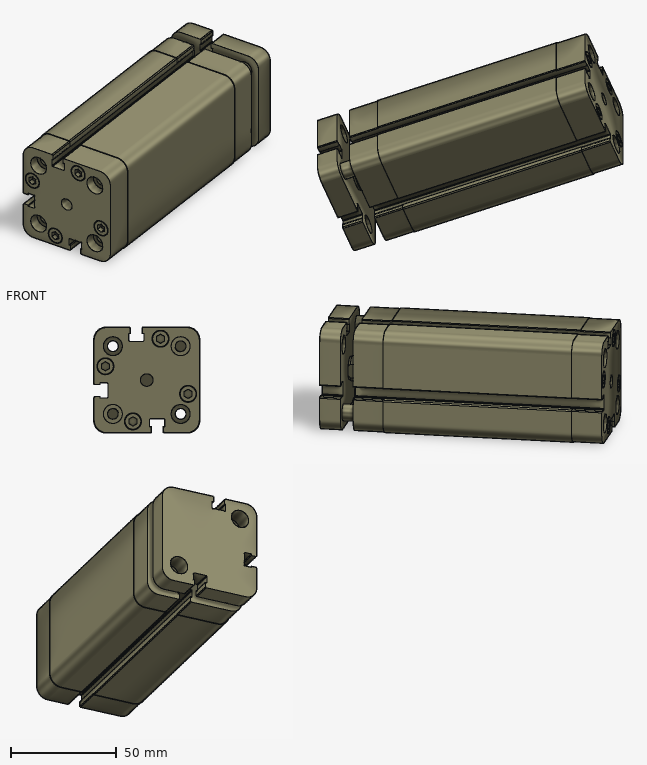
import cadquery as cq
import math

total_length = 135.5
front_cap_length = 14.5
rear_cap_length = 14.4
plate_gap = 6.1
plate_length = 10.0
plate_start = total_length - plate_length
housing_end = plate_start - plate_gap
barrel_end = housing_end - rear_cap_length

barrel_width = 50.1
cap_width = 49.6
barrel_corner = 6.1
corner_centre = barrel_width / 2 - barrel_corner
cap_corner = cap_width / 2 - corner_centre

slot_inner_edge = -1.4
slot_outer_edge = -8.4
neck_inner_edge = -2.2
barrel_neck_outer_edge = -7.7
cap_neck_outer_edge = -7.9
lip_chamfer = 0.4
floor_chamfer = 0.34
slot_floor = 18.3
lip_underside = 22.0
slot_angles = (0, 90, 180)

mount_offset = 16.0
mount_diameter = 5.0
mount_bore_diameter = 9.0
mount_bore_depth = 5.4

port_diameter = 6.0
port_depth = 13.5

screw_across = 6.5
screw_out = 19.5
screw_head_diameter = 7.5
screw_recess_diameter = 8.0
screw_recess_depth = 4.0
hex_diameter = 4.3
hex_depth = 2.7

guide_offset = 17.0
guide_diameter = 8.0
piston_diameter = 12.0
flat_width = 10.0
flat_clearance = 0.7
piston_chamfer = 1.1
piston_chamfer_radial = 0.5


def along_y(start):
    """Workplane square to Y at the given Y, with local axes X and Z; a negative extrusion runs towards +Y."""
    return cq.Workplane("XZ", origin=(0, start, 0))


def cylinder(x, z, diameter, start, end):
    return along_y(start).center(x, z).circle(diameter / 2).extrude(start - end)


def slot(width, neck_outer_edge, start, end):
    """T-slot in the +Z face, with chamfered lips."""
    face = width / 2
    outline = [
        (slot_outer_edge, slot_floor + floor_chamfer),
        (slot_outer_edge + floor_chamfer, slot_floor),
        (slot_inner_edge - floor_chamfer, slot_floor),
        (slot_inner_edge, slot_floor + floor_chamfer),
        (slot_inner_edge, lip_underside),
        (neck_inner_edge, lip_underside),
        (neck_inner_edge, face - lip_chamfer),
        (neck_inner_edge + lip_chamfer, face),
        (slot_outer_edge, face),
        (neck_outer_edge, face - lip_chamfer),
        (neck_outer_edge, lip_underside),
        (slot_outer_edge, lip_underside),
    ]
    return along_y(start).polyline(outline).close().extrude(start - end)


def block(width, corner, neck_outer_edge, start, end):
    """Rounded square length of profile with its three T-slots."""
    body = along_y(start).rect(width, width).extrude(start - end).edges("|Y").fillet(corner)
    cutter = slot(width, neck_outer_edge, start, end)
    for angle in slot_angles:
        body = body.cut(cutter.rotate((0, 0, 0), (0, 1, 0), -angle))
    return body


def cap_block(start, end):
    return block(cap_width, cap_corner, cap_neck_outer_edge, start, end)


housing = cap_block(0, front_cap_length)
barrel = block(
    barrel_width,
    barrel_corner,
    barrel_neck_outer_edge,
    front_cap_length,
    barrel_end,
)
housing = housing.union(barrel)
housing = housing.union(cap_block(barrel_end, housing_end))
plate = cap_block(plate_start, total_length)

for side_x in (-1, 1):
    for side_z in (-1, 1):
        x = side_x * mount_offset
        z = side_z * mount_offset
        housing = housing.cut(cylinder(x, z, mount_diameter, 0, housing_end))
        housing = housing.cut(cylinder(x, z, mount_bore_diameter, 0, mount_bore_depth))
        if side_x != side_z:
            plate = plate.cut(cylinder(x, z, mount_bore_diameter, plate_start, total_length))

housing = housing.cut(cylinder(0, 0, port_diameter, 0, port_depth))

for turn in range(4):
    angle = math.radians(90 * turn)
    x = screw_across * math.cos(angle) + screw_out * math.sin(angle)
    z = screw_out * math.cos(angle) - screw_across * math.sin(angle)
    head = cylinder(x, z, screw_head_diameter, 0, screw_recess_depth)
    housing = housing.cut(cylinder(x, z, screw_recess_diameter, 0, screw_recess_depth).cut(head))
    socket = along_y(0).polygon(6, hex_diameter).extrude(-hex_depth)
    socket = socket.rotate((0, 0, 0), (0, 1, 0), 90).translate((x, 0, z))
    housing = housing.cut(socket)

piston_radius = piston_diameter / 2
flat_offset = flat_width / 2
taper = piston_radius - flat_offset
flat_start = housing_end + flat_clearance
piston = (
    cq.Workplane("XY")
    .moveTo(0, housing_end)
    .lineTo(piston_radius, housing_end)
    .lineTo(piston_radius, plate_start - piston_chamfer)
    .lineTo(piston_radius - piston_chamfer_radial, plate_start)
    .lineTo(0, plate_start)
    .close()
    .revolve(360, (0, 0, 0), (0, 1, 0))
)
flat = (
    cq.Workplane("XY")
    .polyline([
        (flat_offset, plate_start),
        (flat_offset, flat_start + taper),
        (piston_radius, flat_start),
        (piston_radius, plate_start),
    ])
    .close()
    .extrude(piston_radius, both=True)
)
piston = piston.cut(flat).cut(flat.mirror("YZ"))

result = housing.union(piston).union(plate)
for side in (-1, 1):
    offset = side * guide_offset
    result = result.union(cylinder(offset, offset, guide_diameter, housing_end, plate_start))